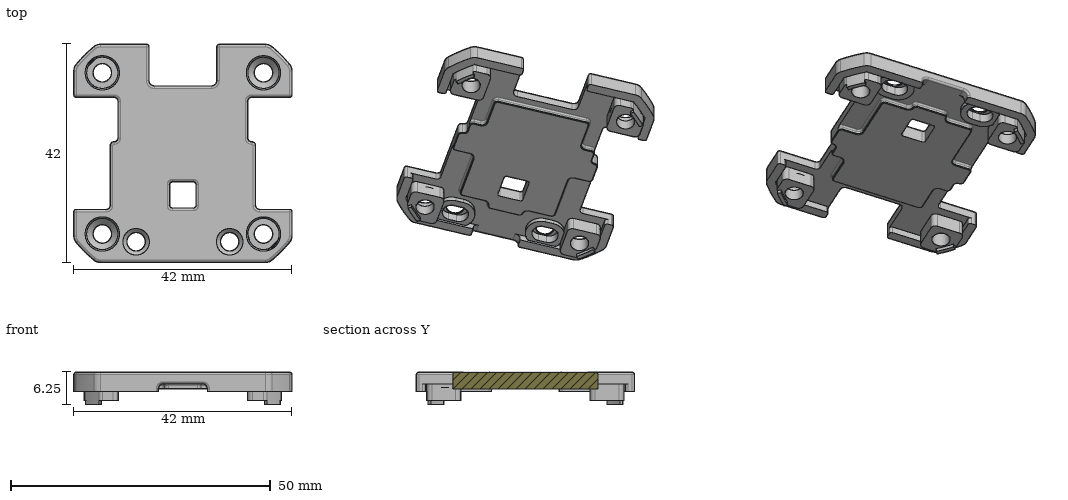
import cadquery as cq
import math

PLATE_TOP = 3.75
CAVITY_TOP = 1.5
PAD_BOTTOM = 0.5
BOSS_BOTTOM = -1.75
KEY_BOTTOM = -2.5

SIDE = 42.0
HALF = SIDE / 2
CORNER_RADIUS = 26.75
CORNER_ROUND = 2.0
ARM_INNER = 10.75
WAIST_UPPER = 12.5
WAIST_LOWER = 14.0
WAIST_STEP_Y = 2.25
WAIST_STEP_ROUND = (WAIST_LOWER - WAIST_UPPER) / 2
TOP_NOTCH_HALF_WIDTH = 6.5
TOP_NOTCH_FLOOR = 13.0
SIDE_NOTCH_ROUND = 0.75
TOP_NOTCH_ROUND = 1.0
EDGE_ROUND = 0.5

RIM_WALL = 1.75
RIM_END_ROUND = 0.5
PAD_HALF_WIDTH = 9.5
PAD_FRONT = -12.5
PAD_BACK = 11.5
WING_BACK = 5.05
WING_FRONT = -2.3
NOSE_HALF_WIDTH = 3.5
NOSE_FRONT = -14.0
PAD_OUTER_ROUND = 0.7
PAD_INNER_ROUND = 1.0
PAD_ROOT_ROUND = 0.32
PAD_CHAMFER = 0.15

OPENING_HALF_WIDTH = 4.7
OPENING_CORNER_ROUND = 1.0
OPENING_EDGE_ROUND = 0.4

BOSS_INSET = 2.0
BOSS_INNER = 12.4
BOSS_ROUND = 1.0
KEY_THICKNESS = 0.75

SCREW_PITCH_HALF = 15.5
SCREW_DIAMETER = 3.5
HEAD_DIAMETER = 6.0
HEAD_CHAMFER = 0.3
COUNTERBORE_FLOOR = 0.75
COUNTERSINK_START = 2.95

FRONT_HOLE_X = 9.0
FRONT_HOLE_Y = -17.0
FRONT_HOLE_COUNTERSINK = 0.8
SLOT_TRAVEL = 1.6
SLOT_TOP = 2.55
PILLAR_WALL = 1.25

WINDOW_SIZE = 5.0
WINDOW_Y = -8.0
WINDOW_ROUND = 0.5

CORNER_SIGNS = [(sx, sy) for sx in (-1, 1) for sy in (-1, 1)]


def edges_at(body, points, direction="|Z"):
    """Edges along a direction whose centres lie over the given (x, y) points."""
    tolerance = 0.01

    def is_wanted(edge):
        centre = edge.Center()
        return any(math.hypot(centre.x - x, centre.y - y) < tolerance for x, y in points)

    return body.edges(direction).filter(is_wanted)


def both_sides(points):
    return points + [(-x, y) for x, y in points]


def arc_meets_side(inset=0):
    """Distance along a side, from its middle, to where the corner arc meets it."""
    return math.sqrt((CORNER_RADIUS - inset) ** 2 - (HALF - inset) ** 2)


def trimmed_square(inset, bottom, top):
    """Block with the cut-corner plan of the plate, moved inwards."""
    side = SIDE - 2 * inset
    plane = cq.Workplane("XY", origin=(0, 0, bottom))
    square = plane.rect(side, side).extrude(top - bottom)
    disc = plane.circle(CORNER_RADIUS - inset).extrude(top - bottom)
    return square.intersect(disc)


def make_plate():
    flat = arc_meets_side()
    arc_middle = CORNER_RADIUS / math.sqrt(2)
    step_start = WAIST_STEP_Y + WAIST_STEP_ROUND
    step_end = WAIST_STEP_Y - WAIST_STEP_ROUND
    step_x = WAIST_UPPER + WAIST_STEP_ROUND
    right_half = (
        cq.Workplane("XY")
        .moveTo(0, TOP_NOTCH_FLOOR)
        .lineTo(TOP_NOTCH_HALF_WIDTH, TOP_NOTCH_FLOOR)
        .lineTo(TOP_NOTCH_HALF_WIDTH, HALF)
        .lineTo(flat, HALF)
        .threePointArc((arc_middle, arc_middle), (HALF, flat))
        .lineTo(HALF, ARM_INNER)
        .lineTo(WAIST_UPPER, ARM_INNER)
        .lineTo(WAIST_UPPER, step_start)
        .tangentArcPoint((step_x, WAIST_STEP_Y), relative=False)
        .tangentArcPoint((WAIST_LOWER, step_end), relative=False)
        .lineTo(WAIST_LOWER, -ARM_INNER)
        .lineTo(HALF, -ARM_INNER)
        .lineTo(HALF, -flat)
        .threePointArc((arc_middle, -arc_middle), (flat, -HALF))
        .lineTo(0, -HALF)
        .close()
        .extrude(PLATE_TOP)
    )
    plate = right_half.union(right_half.mirror("YZ")).clean()

    cut_corners = both_sides([(flat, HALF), (HALF, flat), (HALF, -flat), (flat, -HALF)])
    side_notch = both_sides([(WAIST_UPPER, ARM_INNER), (WAIST_LOWER, -ARM_INNER)])
    top_notch = both_sides([(TOP_NOTCH_HALF_WIDTH, TOP_NOTCH_FLOOR)])
    arm_corners = both_sides([(TOP_NOTCH_HALF_WIDTH, HALF), (HALF, ARM_INNER), (HALF, -ARM_INNER)])
    for corners, radius in (
        (cut_corners, CORNER_ROUND),
        (side_notch, SIDE_NOTCH_ROUND),
        (top_notch, TOP_NOTCH_ROUND),
        (arm_corners, EDGE_ROUND),
    ):
        plate = edges_at(plate, corners).fillet(radius)
    return plate.faces(">Z").edges().fillet(EDGE_ROUND)


def make_cavity():
    """Space under the plate: inside the rim and around the raised centre pad."""
    step_y = WAIST_STEP_Y + WAIST_STEP_ROUND
    right_points = [
        (PAD_HALF_WIDTH, PAD_BACK),
        (PAD_HALF_WIDTH, WING_BACK),
        (WAIST_UPPER, WING_BACK),
        (WAIST_UPPER, step_y),
        (WAIST_LOWER, step_y),
        (WAIST_LOWER, WING_FRONT),
        (PAD_HALF_WIDTH, WING_FRONT),
        (PAD_HALF_WIDTH, PAD_FRONT),
        (NOSE_HALF_WIDTH, PAD_FRONT),
        (NOSE_HALF_WIDTH, NOSE_FRONT),
    ]
    left_points = [(-x, y) for x, y in reversed(right_points)]
    pad_height = CAVITY_TOP - PAD_BOTTOM
    pad = (
        cq.Workplane("XY", origin=(0, 0, PAD_BOTTOM))
        .polyline(right_points + left_points)
        .close()
        .extrude(pad_height)
    )
    outer_corners = [right_points[i] for i in (0, 2, 5, 7, 9)]
    inner_corners = [right_points[i] for i in (1, 6, 8)]
    pad = edges_at(pad, both_sides(outer_corners)).fillet(PAD_OUTER_ROUND)
    pad = edges_at(pad, both_sides(inner_corners)).fillet(PAD_INNER_ROUND)

    cavity = trimmed_square(RIM_WALL, 0, CAVITY_TOP).cut(pad)

    def is_pad_root(edge):
        centre = edge.Center()
        return abs(centre.x) <= WAIST_LOWER and NOSE_FRONT <= centre.y <= PAD_BACK

    return cavity.faces(">Z").edges().filter(is_pad_root).fillet(PAD_ROOT_ROUND)


def round_rim_ends(body):
    """Round the inner corners where the rim ends at the notches."""
    inner = HALF - RIM_WALL
    ends = both_sides([(TOP_NOTCH_HALF_WIDTH, inner), (inner, ARM_INNER), (inner, -ARM_INNER)])
    return edges_at(body, ends).fillet(RIM_END_ROUND)


def chamfer_pad(body):
    pad_face = cq.selectors.BoxSelector((-HALF, -HALF, PAD_BOTTOM - 0.01), (HALF, HALF, PAD_BOTTOM + 0.01))
    return body.faces(pad_face).edges().chamfer(PAD_CHAMFER)


def cut_front_opening(body):
    opening = (
        cq.Workplane("XY")
        .box(2 * OPENING_HALF_WIDTH, RIM_WALL, 2 * CAVITY_TOP)
        .edges("|Y")
        .fillet(OPENING_CORNER_ROUND)
        .translate((0, -HALF + RIM_WALL / 2, 0))
    )
    body = body.cut(opening)

    def is_opening_edge(edge):
        centre = edge.Center()
        return abs(centre.x) < OPENING_HALF_WIDTH + OPENING_EDGE_ROUND and 0 < centre.z <= CAVITY_TOP

    return body.faces("<Y").edges().filter(is_opening_edge).fillet(OPENING_EDGE_ROUND)


def make_boss(sx, sy):
    """Boss under one corner with its key bar along the corner cut."""
    outer = HALF - BOSS_INSET
    size = outer - BOSS_INNER
    centre = (outer + BOSS_INNER) / 2
    block = (
        cq.Workplane("XY", origin=(sx * centre, sy * centre, BOSS_BOTTOM))
        .rect(size, size)
        .extrude(CAVITY_TOP - BOSS_BOTTOM)
    )
    boss = block.intersect(trimmed_square(BOSS_INSET, BOSS_BOTTOM, CAVITY_TOP))
    boss = boss.edges("|Z").fillet(BOSS_ROUND)

    key_radius = CORNER_RADIUS - BOSS_INSET
    half_angle = math.pi / 4 - math.acos((outer - BOSS_ROUND) / (key_radius - BOSS_ROUND))
    plane = cq.Workplane("XY", origin=(0, 0, KEY_BOTTOM))
    height = BOSS_BOTTOM - KEY_BOTTOM
    reach = SIDE
    spread = reach * math.tan(half_angle)
    wedge = plane.polyline([(0, 0), (reach, spread), (reach, -spread)]).close().extrude(height)
    ring = plane.circle(key_radius).circle(key_radius - KEY_THICKNESS).extrude(height)
    angle = math.degrees(math.atan2(sy, sx))
    key = ring.intersect(wedge).rotate((0, 0, 0), (0, 0, 1), angle)
    return boss.union(key)


def revolve_profile(points, x, y):
    return cq.Workplane("XZ").polyline(points).close().revolve(360, (0, 0), (0, 1)).translate((x, y, 0))


def make_screw_hole(sx, sy):
    """Countersunk where the signs match, counterbored on the other diagonal."""
    hole = SCREW_DIAMETER / 2
    head = HEAD_DIAMETER / 2
    if sx == sy:
        seat = [(hole, COUNTERSINK_START - (head - hole)), (head, COUNTERSINK_START)]
    else:
        seat = [(hole, COUNTERBORE_FLOOR), (head, COUNTERBORE_FLOOR)]
    mouth = [(head, PLATE_TOP - HEAD_CHAMFER), (head + HEAD_CHAMFER, PLATE_TOP), (0, PLATE_TOP)]
    points = [(0, KEY_BOTTOM), (hole, KEY_BOTTOM)] + seat + mouth
    return revolve_profile(points, sx * SCREW_PITCH_HALF, sy * SCREW_PITCH_HALF)


def make_front_slot(side, margin, bottom, top):
    return (
        cq.Workplane("XY", origin=(side * FRONT_HOLE_X, FRONT_HOLE_Y, bottom))
        .slot2D(SCREW_DIAMETER + SLOT_TRAVEL + 2 * margin, SCREW_DIAMETER + 2 * margin)
        .extrude(top - bottom)
    )


def make_front_hole(side):
    hole = SCREW_DIAMETER / 2
    points = [
        (0, 0),
        (hole, 0),
        (hole, PLATE_TOP - FRONT_HOLE_COUNTERSINK),
        (hole + FRONT_HOLE_COUNTERSINK, PLATE_TOP),
        (0, PLATE_TOP),
    ]
    hole_cut = revolve_profile(points, side * FRONT_HOLE_X, FRONT_HOLE_Y)
    return hole_cut.union(make_front_slot(side, 0, 0, SLOT_TOP))


def cut_window(body):
    window = (
        cq.Workplane("XY")
        .center(0, WINDOW_Y)
        .rect(WINDOW_SIZE, WINDOW_SIZE)
        .extrude(PLATE_TOP)
        .edges("|Z")
        .fillet(WINDOW_ROUND)
    )
    body = body.cut(window)

    def is_window_edge(edge):
        centre = edge.Center()
        return max(abs(centre.x), abs(centre.y - WINDOW_Y)) <= WINDOW_SIZE / 2 + EDGE_ROUND

    return body.faces(">Z").edges().filter(is_window_edge).fillet(EDGE_ROUND)


result = chamfer_pad(make_plate().cut(make_cavity()))
result = round_rim_ends(result)
result = cut_window(cut_front_opening(result))
for signs in CORNER_SIGNS:
    result = result.union(make_boss(*signs))
for signs in CORNER_SIGNS:
    result = result.cut(make_screw_hole(*signs))
for hole_side in (-1, 1):
    result = result.union(make_front_slot(hole_side, PILLAR_WALL, PAD_BOTTOM, CAVITY_TOP))
    result = result.cut(make_front_hole(hole_side))